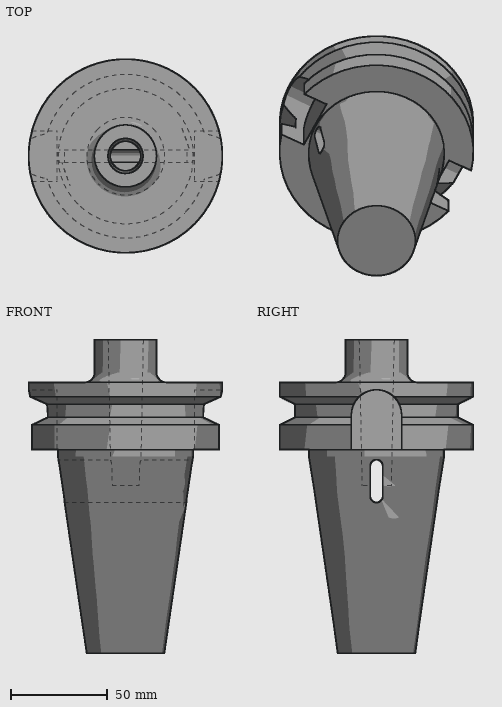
import cadquery as cq

total_height = 161.8
spigot_height = 22.0
flange_height = 34.8
collar_height = 3.4
flange_top = total_height - spigot_height
flange_bottom = flange_top - flange_height
taper_top = flange_bottom - collar_height

flange_radius = 50.0
spigot_radius = 16.0
shank_radius = 35.0
shank_end_radius = 20.0
groove_radius = 42.2
spigot_fillet = 5.0

upper_rim_height = 7.5
groove_chamfer_height = 3.9
groove_floor_height = 6.8

drive_slot_width = 25.9
drive_slot_height = 30.9
drive_floor_x = 35.5

socket_mouth_radius = 9.0
socket_end_radius = 7.6
socket_depth = 75.0
ejector_width = 6.3
ejector_height = 22.0
ejector_top_depth = 62.0


def turned_body():
    """Shank, grooved flange and filleted spigot, revolved about Z."""
    groove_top = flange_top - upper_rim_height
    groove_floor_top = groove_top - groove_chamfer_height
    groove_floor_bottom = groove_floor_top - groove_floor_height
    groove_bottom = groove_floor_bottom - groove_chamfer_height
    profile = (
        cq.Workplane("XZ")
        .lineTo(shank_end_radius, 0)
        .lineTo(shank_radius, taper_top)
        .lineTo(shank_radius, flange_bottom)
        .lineTo(flange_radius, flange_bottom)
        .lineTo(flange_radius, groove_bottom)
        .lineTo(groove_radius, groove_floor_bottom)
        .lineTo(groove_radius, groove_floor_top)
        .lineTo(flange_radius, groove_top)
        .lineTo(flange_radius, flange_top)
        .lineTo(spigot_radius + spigot_fillet, flange_top)
        .radiusArc((spigot_radius, flange_top + spigot_fillet), spigot_fillet)
        .lineTo(spigot_radius, total_height)
        .lineTo(0, total_height)
        .close()
    )
    return profile.revolve(360, (0, 0, 0), (0, 1, 0))


def drive_slot(side):
    """Round-topped cutter on the +X (side = 1) or -X (side = -1) flank."""
    half_width = drive_slot_width / 2
    arch_start = flange_bottom + drive_slot_height - half_width
    return (
        cq.Workplane("YZ", origin=(side * drive_floor_x, 0, 0))
        .moveTo(-half_width, flange_bottom)
        .lineTo(half_width, flange_bottom)
        .lineTo(half_width, arch_start)
        .threePointArc((0, arch_start + half_width), (-half_width, arch_start))
        .close()
        .extrude(side * flange_radius)
    )


def socket():
    """Conical socket narrowing downward from the spigot face."""
    return (
        cq.Workplane("XY", origin=(0, 0, total_height))
        .circle(socket_mouth_radius)
        .workplane(offset=-socket_depth)
        .circle(socket_end_radius)
        .loft()
    )


def ejector_slot():
    """Upright round-ended slot running through the shank along X."""
    center_z = total_height - ejector_top_depth - ejector_height / 2
    return (
        cq.Workplane("YZ", origin=(0, 0, center_z))
        .slot2D(ejector_height, ejector_width, 90)
        .extrude(flange_radius, both=True)
    )


result = turned_body().cut(socket()).cut(ejector_slot())
for side in (-1, 1):
    result = result.cut(drive_slot(side))